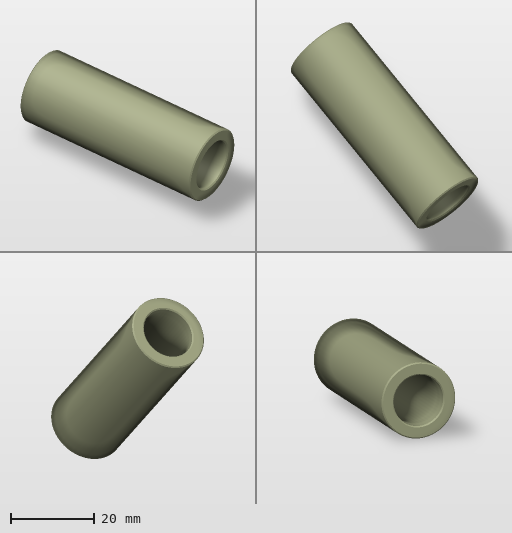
import cadquery as cq

length = 50.0
outer_diameter = 18.75
bore_diameter = 12.6
rim_chamfer = 0.3

outer_radius = outer_diameter / 2
bore_radius = bore_diameter / 2

tube = (
    cq.Workplane("YZ", origin=(-length / 2, 0, 0))
    .circle(outer_radius)
    .circle(bore_radius)
    .extrude(length)
)

result = tube.faces("<X or >X").edges().chamfer(rim_chamfer)